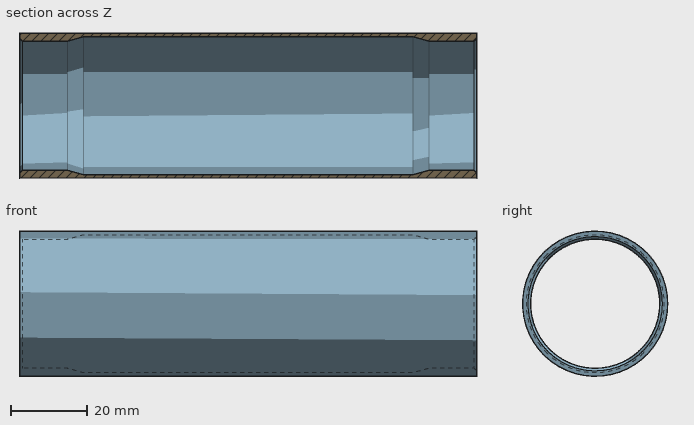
import cadquery as cq

length = 120.0
outer_radius = 19.1

land_radius = 16.9
middle_radius = 18.1
land_end_depth = 12.5
taper_length = 4.3
mouth_chamfer = 0.7

half_length = length / 2
mouth_radius = land_radius + mouth_chamfer
chamfer_end_x = half_length - mouth_chamfer
land_end_x = half_length - land_end_depth
middle_end_x = land_end_x - taper_length

end_profile = [
    (half_length, outer_radius),
    (half_length, mouth_radius),
    (chamfer_end_x, land_radius),
    (land_end_x, land_radius),
    (middle_end_x, middle_radius),
]

opposite_profile = [(-x, radius) for x, radius in reversed(end_profile)]

wall_section = cq.Workplane("XY").polyline(end_profile + opposite_profile).close()
result = wall_section.revolve(360, (0, 0, 0), (1, 0, 0))